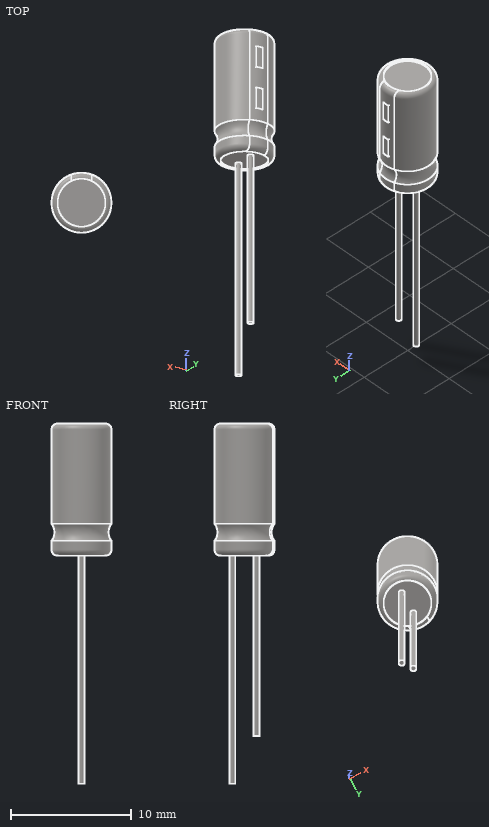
import cadquery as cq
import math

body_diameter = 5.0
body_height = 11.0
edge_radius = 0.5

groove_bottom = 1.23
groove_height = 1.45
groove_depth = 0.25

sleeve_thickness = 0.12
stripe_width = 1.75

mark_count = 2
mark_length = 1.85
mark_width = 0.6
mark_pitch = 3.72

overall_height = 30.0
lead_diameter = 0.5
lead_pitch = 2.0
short_lead_length = 15.0

body_radius = body_diameter / 2
opening_radius = body_radius - edge_radius
groove_mid = groove_bottom + groove_height / 2
groove_radius = ((groove_height / 2) ** 2 + groove_depth**2) / (2 * groove_depth)
groove_center_radius = body_radius - groove_depth + groove_radius
long_lead_length = overall_height - body_height
upper_wall_bottom = groove_bottom + groove_height
upper_wall_top = body_height - edge_radius
upper_wall_mid = (upper_wall_bottom + upper_wall_top) / 2
cos_45 = math.sqrt(0.5)


def rounded_body(inset):
    """Grooved cylinder with rounded ends, its whole surface moved inward by the inset."""
    wall = body_radius - inset
    bottom = inset
    top = body_height - inset
    round_mid_radius = opening_radius + (edge_radius - inset) * cos_45
    round_mid_rise = edge_radius - (edge_radius - inset) * cos_45
    arc_radius = groove_radius + inset
    half_groove = math.sqrt(arc_radius**2 - (groove_center_radius - wall) ** 2)
    return (
        cq.Workplane("XZ")
        .moveTo(0, bottom)
        .lineTo(opening_radius, bottom)
        .threePointArc((round_mid_radius, round_mid_rise), (wall, edge_radius))
        .lineTo(wall, groove_mid - half_groove)
        .threePointArc(
            (groove_center_radius - arc_radius, groove_mid),
            (wall, groove_mid + half_groove),
        )
        .lineTo(wall, upper_wall_top)
        .threePointArc(
            (round_mid_radius, body_height - round_mid_rise),
            (opening_radius, top),
        )
        .lineTo(0, top)
        .close()
        .revolve(360, (0, 0, 0), (0, 1, 0))
    )


def make_core():
    """Can inside the sleeve, bare at both end openings."""
    return rounded_body(sleeve_thickness)


def make_wrap():
    """Complete shrink wrap, before the stripe is separated from it."""
    opening = cq.Workplane("XY").circle(opening_radius).extrude(body_height)
    return rounded_body(0).cut(opening).cut(make_core())


def stripe_zone():
    """Block on the +Y side that bounds the stripe."""
    return cq.Workplane("XY").box(
        stripe_width, body_radius, body_height, centered=(True, False, False)
    )


def mark_zone(height):
    """Block on the +Y side that bounds one minus mark centred at the given height."""
    return (
        cq.Workplane("XY")
        .box(mark_width, body_radius, mark_length, centered=(True, False, True))
        .translate((0, 0, height))
    )


def make_lead(y, length):
    """Straight lead hanging from the bottom of the core."""
    return (
        cq.Workplane("XY", origin=(0, y, sleeve_thickness))
        .circle(lead_diameter / 2)
        .extrude(-(length + sleeve_thickness))
    )


core = make_core()

wrap = make_wrap()
sleeve = wrap.cut(stripe_zone())
stripe = wrap.intersect(stripe_zone())

marks = []
for index in range(mark_count):
    height = upper_wall_mid + (index - (mark_count - 1) / 2) * mark_pitch
    marks.append(stripe.intersect(mark_zone(height)))
for mark in marks:
    stripe = stripe.cut(mark)

leads = [
    make_lead(lead_pitch / 2, short_lead_length),
    make_lead(-lead_pitch / 2, long_lead_length),
]

result = cq.Compound.makeCompound(
    [body.val() for body in [core, sleeve, stripe, *marks, *leads]]
)